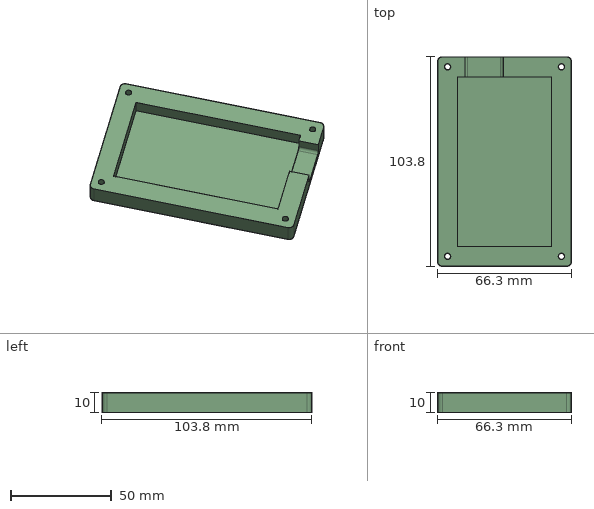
import cadquery as cq

length = 103.8
width = 66.3
height = 10.0
corner_radius = 2.5

rim_width = 10.0
pocket_depth = 7.0

hole_diameter = 2.9
hole_inset = rim_width / 2

notch_offset = 13.5
notch_width = 19.1
notch_depth = 6.3
notch_fillet = 1.5


def make_body():
    body = cq.Workplane("XY").box(width, length, height, centered=(True, True, False))
    return body.edges("|Z").fillet(corner_radius)


def make_pocket():
    return (
        cq.Workplane("XY")
        .workplane(offset=height - pocket_depth)
        .rect(width - 2 * rim_width, length - 2 * rim_width)
        .extrude(pocket_depth)
    )


def make_notch():
    notch = cq.Workplane("XY").box(notch_width, rim_width, notch_depth, centered=False)
    notch = notch.edges("|Y and <Z").fillet(notch_fillet)
    return notch.translate(
        (notch_offset - width / 2, length / 2 - rim_width, height - notch_depth)
    )


def make_screw_holes():
    return (
        cq.Workplane("XY")
        .rect(width - 2 * hole_inset, length - 2 * hole_inset, forConstruction=True)
        .vertices()
        .circle(hole_diameter / 2)
        .extrude(height)
    )


result = make_body().cut(make_pocket()).cut(make_notch()).cut(make_screw_holes())